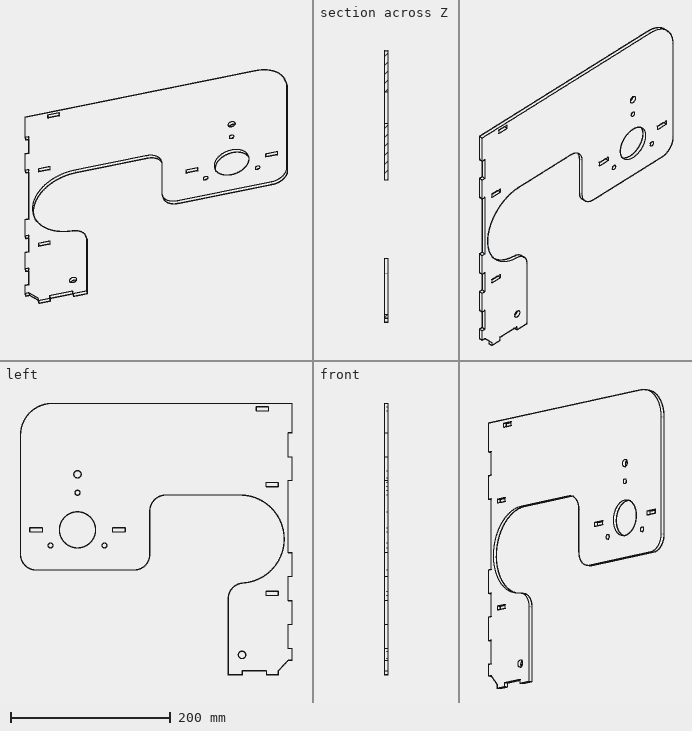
import cadquery as cq
import math

thickness = 5.0
length = 340.15
height = 340.0

tab_pitch = 30.0
joint_depth = thickness
first_notch_top = 63.0
lowest_tab_bottom = 18.0

leg_front = 80.15
foot_back = 17.15
foot_notch_back = 32.15
corner_cut_top = lowest_tab_bottom

head_bottom = 131.0
head_back = 178.0
top_corner_radius = 40.0
corner_radius = 20.0

throat_radius = 55.0
throat_center_y = 65.0
throat_center_z = 170.0
throat_top = throat_center_z + throat_radius

spindle_y = 268.65
spindle_z = 181.5
spindle_diameter = 45.0
bolt_diameter = 6.0
upper_bolt_rise = 46.5
lower_bolt_drop = 19.5
lower_bolt_spread = 33.75
pivot_diameter = 9.0
pivot_rise = 69.5
leg_pivot_y = 62.65
leg_pivot_z = 25.0
slot_length = 15.0
slot_height = thickness
head_slot_length = 15.5
head_slot_spread = 51.75
back_slot_y = 25.15
back_slot_levels = (102.15, 238.15)
top_slot_y = 37.15
top_slot_z = 333.0


def on_circle(center_y, center_z, radius, degrees):
    """Point on a circle, with the angle measured from +Y toward +Z."""
    angle = math.radians(degrees)
    return (center_y + radius * math.cos(angle), center_z + radius * math.sin(angle))


def plate_blank():
    """Plate outline with round corners, before the finger joints are cut."""
    lip_center_y = leg_front - corner_radius
    center_distance = throat_radius + corner_radius
    lip_offset_y = lip_center_y - throat_center_y
    lip_center_z = throat_center_z - math.sqrt(center_distance**2 - lip_offset_y**2)
    lip_angle = math.degrees(math.atan2(throat_center_z - lip_center_z, -lip_offset_y))
    lip_end = on_circle(lip_center_y, lip_center_z, corner_radius, lip_angle)
    lip_middle = on_circle(lip_center_y, lip_center_z, corner_radius, lip_angle / 2)
    throat_back = (throat_center_y - throat_radius, throat_center_z)

    blank = (
        cq.Workplane("YZ")
        .moveTo(0, height)
        .lineTo(length, height)
        .lineTo(length, head_bottom)
        .lineTo(head_back, head_bottom)
        .lineTo(head_back, throat_top)
        .lineTo(throat_center_y, throat_top)
        .threePointArc(throat_back, lip_end)
        .threePointArc(lip_middle, (leg_front, lip_center_z))
        .lineTo(leg_front, 0)
        .lineTo(foot_back, 0)
        .lineTo(foot_back, joint_depth)
        .lineTo(joint_depth, corner_cut_top)
        .lineTo(0, lowest_tab_bottom)
        .close()
        .extrude(thickness)
    )
    blank = round_corner(blank, length, height, top_corner_radius)
    for y, z in ((length, head_bottom), (head_back, head_bottom), (head_back, throat_top)):
        blank = round_corner(blank, y, z, corner_radius)
    return blank


def round_corner(body, y, z, radius):
    """Fillet the edge that runs through the thickness at (y, z)."""
    corner = cq.selectors.NearestToPointSelector((thickness / 2, y, z))
    return body.edges("|X").edges(corner).fillet(radius)


def block(y_min, y_max, z_min, z_max):
    """Rectangular cutter through the full thickness."""
    size_y = y_max - y_min
    size_z = z_max - z_min
    return cq.Workplane("XY").box(thickness, size_y, size_z, centered=False).translate((0, y_min, z_min))


def cut_joints(body):
    """Notches between the back-edge tabs and between the two feet."""
    for steps_up, steps_tall in ((0, 1), (2, 1), (6, 3), (8, 1)):
        notch_top = first_notch_top + steps_up * tab_pitch
        body = body.cut(block(0, joint_depth, notch_top - steps_tall * tab_pitch, notch_top))
    return body.cut(block(foot_notch_back, foot_notch_back + tab_pitch, 0, joint_depth))


def cut_slots(body):
    """Slots for the tabs of cross pieces."""
    slots = [(spindle_y + side * head_slot_spread, spindle_z, head_slot_length) for side in (-1, 1)]
    slots += [(back_slot_y, level, slot_length) for level in back_slot_levels]
    slots.append((top_slot_y, top_slot_z, slot_length))
    half_height = slot_height / 2
    for y, z, size in slots:
        body = body.cut(block(y - size / 2, y + size / 2, z - half_height, z + half_height))
    return body


def cut_holes(body):
    """Spindle bore, its three bolt holes and the two pivot holes."""
    lower_bolt_z = spindle_z - lower_bolt_drop
    holes = (
        (spindle_y, spindle_z, spindle_diameter),
        (spindle_y, spindle_z + upper_bolt_rise, bolt_diameter),
        (spindle_y - lower_bolt_spread, lower_bolt_z, bolt_diameter),
        (spindle_y + lower_bolt_spread, lower_bolt_z, bolt_diameter),
        (spindle_y, spindle_z + pivot_rise, pivot_diameter),
        (leg_pivot_y, leg_pivot_z, pivot_diameter),
    )
    for y, z, diameter in holes:
        cutter = cq.Workplane("YZ").center(y, z).circle(diameter / 2).extrude(thickness)
        body = body.cut(cutter)
    return body


result = cut_holes(cut_slots(cut_joints(plate_blank())))